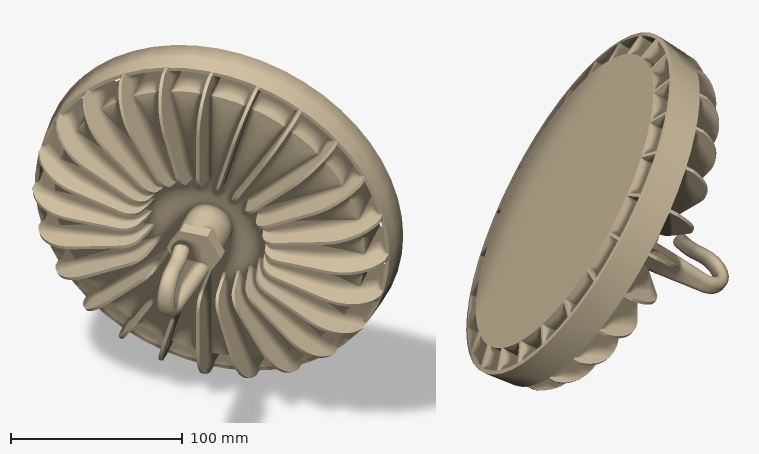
import cadquery as cq
import math


disc_radius = 95.0
disc_depth = 28.0
sink_depth = 50.0
boss_diameter = 28.0

ring_back_radius = 110.5
ring_back_depth = 3.3
ring_front_radius = 108.8
ring_front_depth = 23.5
ring_wall = 2.5

fin_count = 24
fin_thickness = 2.0
fin_outer_radius = 108.3
fin_curve_start_depth = 28.7
fin_curve_end_radius = 79.5
fin_foot_radius = 35.0
fin_shoulder_radius = 40.7
fin_shoulder_round = 11.0

hex_across_flats = 28.7
hex_thickness = 7.5
hex_front_depth = sink_depth + hex_thickness

total_depth = 112.3
collar_end_depth = 67.5
collar_base_size = (18.5, 8.6)
collar_end_size = (17.2, 7.7)
bend_start_size = (11.5, 7.5)
arm_size = (9.3, 7.5)
bar_height = -10.2
arm_height = 15.7
arm_length = 5.5
tip_curve_radius = 14.8
tip_angle = 28.0
tip_length = 6.6
tip_round = 3.3

bend_radius = (arm_height - bar_height) / 2
bend_centre_height = (arm_height + bar_height) / 2
bend_depth = total_depth - bend_radius - bend_start_size[1] / 2


def cone_back_depth(radius):
    """Depth of the conical back that joins the disc's back edge to the ring."""
    slope = ring_back_depth / (ring_back_radius - disc_radius)
    return slope * (radius - disc_radius)


def cylinder(radius, depth):
    return cq.Workplane("XZ").circle(radius).extrude(depth)


def make_ring():
    back_inner = ring_back_radius - ring_wall
    profile = [
        (ring_back_radius, -ring_back_depth),
        (ring_front_radius, -ring_front_depth),
        (ring_front_radius - ring_wall, -ring_front_depth),
        (back_inner, -cone_back_depth(back_inner)),
    ]
    return cq.Workplane("XY").polyline(profile).close().revolve(360, (0, 0, 0), (0, 1, 0))


def make_fin():
    """Fin along +X, from inside the disc out to the middle of the ring wall."""
    fin = (
        cq.Workplane("XY")
        .moveTo(fin_foot_radius, 0)
        .lineTo(fin_foot_radius, -disc_depth)
        .lineTo(fin_shoulder_radius, -sink_depth)
        .lineTo(fin_curve_end_radius, -sink_depth)
        .tangentArcPoint((fin_outer_radius, -fin_curve_start_depth), relative=False)
        .lineTo(fin_outer_radius, -cone_back_depth(fin_outer_radius))
        .lineTo(disc_radius, 0)
        .close()
        .extrude(fin_thickness / 2, both=True)
    )
    shoulder = cq.selectors.NearestToPointSelector((fin_shoulder_radius, -sink_depth, 0))
    return fin.edges("|Z").edges(shoulder).fillet(fin_shoulder_round)


def make_heat_sink():
    sink = cylinder(disc_radius, disc_depth)
    sink = sink.union(cylinder(boss_diameter / 2, sink_depth))
    sink = sink.union(make_ring())
    fin = make_fin()
    for index in range(fin_count):
        angle = index * 360 / fin_count
        sink = sink.union(fin.rotate((0, 0, 0), (0, 1, 0), angle))
    return sink


def make_hex_nut():
    """Hexagon with flats at top and bottom."""
    across_corners = hex_across_flats / math.cos(math.radians(30))
    return (
        cq.Workplane("XZ", origin=(0, -sink_depth, 0))
        .polygon(6, across_corners)
        .extrude(hex_thickness)
    )


def section_plane(depth, height, angle):
    """Plane across the hook; angle 0 looks along -Y and 90 looks along +Z."""
    turn = math.radians(angle)
    normal = (0, -math.cos(turn), math.sin(turn))
    return cq.Plane(origin=(0, -depth, height), xDir=(1, 0, 0), normal=normal)


def stadium(plane, size):
    return cq.Workplane(plane).slot2D(*size)


def tapered_bar(start_depth, start_size, end_depth, end_size):
    start = stadium(section_plane(start_depth, bar_height, 0), start_size).wires().val()
    end = stadium(section_plane(end_depth, bar_height, 0), end_size).wires().val()
    return cq.Workplane(cq.Solid.makeLoft([start, end], True))


def make_bend():
    """Half turn from the bar up to the arm, narrowing along the way."""
    path = (
        cq.Workplane("YZ")
        .moveTo(-bend_depth, bar_height)
        .threePointArc((-bend_depth - bend_radius, bend_centre_height), (-bend_depth, arm_height))
    )
    start = stadium(section_plane(bend_depth, bar_height, 0), bend_start_size).wires().val()
    end = stadium(section_plane(bend_depth, arm_height, 180), arm_size).wires().val()
    return cq.Workplane(cq.Solid.sweep_multi([start, end], path.val()))


def make_arm():
    """Straight arm running back toward the lamp."""
    return stadium(section_plane(bend_depth, arm_height, 180), arm_size).extrude(arm_length)


def make_tip():
    """Upturned end of the arm, with a rounded end face."""
    start_depth = bend_depth - arm_length
    turn = math.radians(tip_angle)
    end_depth = start_depth - tip_curve_radius * math.sin(turn)
    end_height = arm_height + tip_curve_radius * (1 - math.cos(turn))
    tip_direction = cq.Vector(0, math.cos(turn), math.sin(turn))

    curve = (
        stadium(section_plane(start_depth, arm_height, 180), arm_size)
        .revolve(tip_angle, (0, -tip_curve_radius), (1, -tip_curve_radius))
    )
    straight = (
        stadium(section_plane(end_depth, end_height, 180 - tip_angle), arm_size)
        .extrude(tip_length)
        .faces(cq.selectors.DirectionMinMaxSelector(tip_direction))
        .edges()
        .fillet(tip_round)
    )
    return curve.union(straight)


def make_hook():
    collar = tapered_bar(hex_front_depth, collar_base_size, collar_end_depth, collar_end_size)
    bar = tapered_bar(collar_end_depth, collar_end_size, bend_depth, bend_start_size)
    return collar.union(bar).union(make_bend()).union(make_arm()).union(make_tip())


heat_sink = make_heat_sink().solids().val()
hex_nut = make_hex_nut().solids().val()
hook = make_hook().solids().val()

result = cq.Compound.makeCompound([heat_sink, hex_nut, hook])